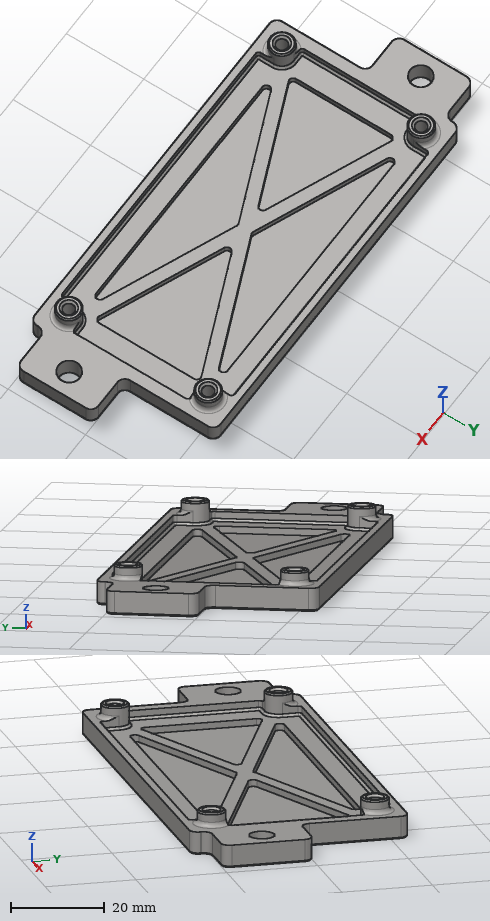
import cadquery as cq
import math

length = 114.0
body_length = 92.0
width = 48.0
thickness = 5.0
tab_width = 20.0
outline_radius = 1.9
bottom_chamfer = 0.3
tab_hole_x = 51.5
tab_hole_diameter = 5.5

boss_x = 40.0
boss_y = 18.0
boss_diameter = 6.0
boss_top = 8.0
boss_rim_chamfer = 0.3
boss_foot_radius = 1.0
boss_hole_diameter = 2.8
boss_countersink_diameter = 4.0

recess_length = 86.0
recess_width = 44.3
recess_depth = 2.0
recess_floor_chamfer = 0.6
recess_corner_radius = 0.7

pocket_span_x = 73.9
pocket_span_y = 34.0
pocket_depth = 1.5
pocket_corner_radius = 1.0
rib_width = 3.2
rib_angle = 22.8

boss_radius = boss_diameter / 2
recess_floor = thickness - recess_depth


def make_plate():
    """Rectangular plate with one tab at each end, on opposite corners."""
    tab_length = length / 2
    body = cq.Workplane("XY").rect(body_length, width).extrude(thickness)
    for side in (-1, 1):
        tab = (
            cq.Workplane("XY")
            .center(side * tab_length / 2, -side * tab_width / 2)
            .rect(tab_length, tab_width)
            .extrude(thickness)
        )
        body = body.union(tab)
    return body.edges("|Z").fillet(outline_radius).faces("<Z").edges().chamfer(bottom_chamfer)


def make_boss():
    """Post with a chamfered rim and a flared foot, in the corner at +X and +Y."""
    radius = boss_radius
    foot = boss_foot_radius
    arc_offset = foot * (1 - math.sqrt(0.5))
    return (
        cq.Workplane("XZ")
        .lineTo(radius + foot, 0)
        .lineTo(radius + foot, thickness)
        .threePointArc(
            (radius + arc_offset, thickness + arc_offset),
            (radius, thickness + foot),
        )
        .lineTo(radius, boss_top - boss_rim_chamfer)
        .lineTo(radius - boss_rim_chamfer, boss_top)
        .lineTo(0, boss_top)
        .close()
        .revolve(360, (0, 0, 0), (0, 1, 0))
        .translate((boss_x, boss_y, 0))
    )


def make_recess():
    """Cutter for the recess, whose corners step around the wall of each boss."""
    step_x = boss_x - boss_radius
    step_y = boss_y - boss_radius
    height = recess_depth + boss_foot_radius
    floor_plane = cq.Workplane("XY", origin=(0, 0, recess_floor))
    lengthwise = floor_plane.rect(recess_length, 2 * step_y).extrude(height)
    crosswise = floor_plane.rect(2 * step_x, recess_width).extrude(height)
    lengthwise = lengthwise.edges("|Z").fillet(recess_corner_radius)
    crosswise = crosswise.edges("|Z").fillet(recess_corner_radius)
    step_box = cq.selectors.BoxSelector((-boss_x, -boss_y, 0), (boss_x, boss_y, boss_top))
    cutter = lengthwise.union(crosswise).edges("|Z").edges(step_box).fillet(boss_radius)
    return cutter.faces("<Z").chamfer(recess_floor_chamfer)


def make_pockets():
    """Cutter for the four triangular pockets left between two crossing ribs."""
    floor_plane = cq.Workplane("XY", origin=(0, 0, recess_floor - pocket_depth))
    cutter = floor_plane.rect(pocket_span_x, pocket_span_y).extrude(pocket_depth)
    for angle in (-rib_angle, rib_angle):
        rib = (
            floor_plane.rect(length, rib_width)
            .extrude(pocket_depth)
            .rotate((0, 0, 0), (0, 0, 1), angle)
        )
        cutter = cutter.cut(rib)
    return cutter.edges("|Z").fillet(pocket_corner_radius)


def make_boss_holes():
    """Cutters for the countersunk through holes on the four boss axes."""
    radius = boss_hole_diameter / 2
    rim_radius = boss_countersink_diameter / 2
    hole = (
        cq.Workplane("XZ")
        .lineTo(radius, 0)
        .lineTo(radius, boss_top - (rim_radius - radius))
        .lineTo(rim_radius, boss_top)
        .lineTo(0, boss_top)
        .close()
        .revolve(360, (0, 0, 0), (0, 1, 0))
        .val()
    )
    return (
        cq.Workplane("XY")
        .rect(2 * boss_x, 2 * boss_y, forConstruction=True)
        .vertices()
        .eachpoint(lambda place: hole.moved(place))
    )


def make_tab_holes():
    """Cutter for the plain hole in the middle of each tab's width."""
    return (
        cq.Workplane("XY")
        .pushPoints([(-tab_hole_x, tab_width / 2), (tab_hole_x, -tab_width / 2)])
        .circle(tab_hole_diameter / 2)
        .extrude(thickness)
    )


recess = make_recess()

boss = make_boss().cut(recess)
boss_pair = boss.union(boss.mirror("YZ"))
bosses = boss_pair.union(boss_pair.mirror("XZ"))

result = (
    make_plate()
    .cut(recess)
    .union(bosses)
    .cut(make_pockets())
    .cut(make_boss_holes())
    .cut(make_tab_holes())
)